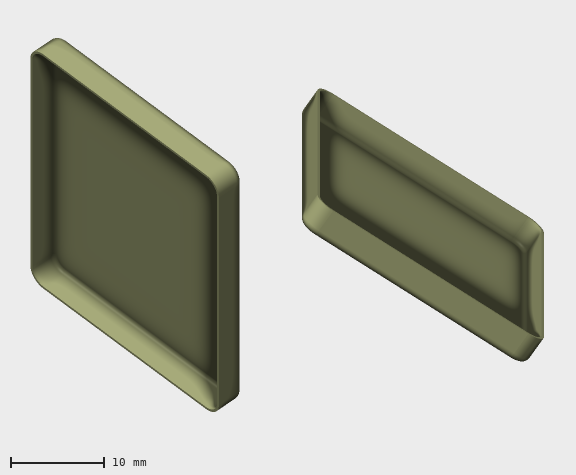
import cadquery as cq

width = 29.1
depth = 3.5
height = 35.3

wall = 0.3
corner_radius = 2.0
back_fillet = 0.78
inner_fillet = back_fillet - wall


def rounded_block(size_x, size_z, radius, front_y, back_y):
    """Block with rounded corners, centred in X and Z, between two Y positions."""
    return (
        cq.Workplane("XZ", origin=(0, front_y, 0))
        .rect(size_x, size_z)
        .extrude(front_y - back_y)
        .edges("|Y")
        .fillet(radius)
    )


front_y = -depth / 2
back_y = depth / 2

shell = rounded_block(width, height, corner_radius, front_y, back_y)
shell = shell.faces(">Y").edges().fillet(back_fillet)

cavity = rounded_block(
    width - 2 * wall, height - 2 * wall, corner_radius - wall, front_y, back_y - wall
)
cavity = cavity.faces(">Y").edges().fillet(inner_fillet)

result = shell.cut(cavity)